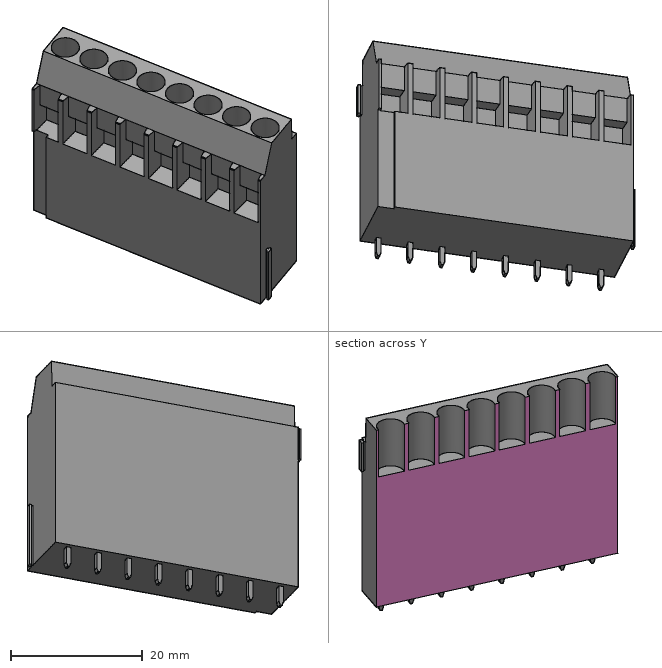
import cadquery as cq
import math

overall_width = 41.3
overall_height = 34.3
pole_count = 8
housing_width = 40.0
pitch = housing_width / pole_count
pole_centres = [(i + 0.5) * pitch for i in range(pole_count)]

housing_depth = 10.95
housing_height = 31.13
front_height = 26.0
front_chamfer = 0.12
slope_foot_y = 1.35
slope_top_y = 3.43
back_ledge_height = 26.87
back_wall_foot_y = 9.55
back_wall_top_y = 9.4

screw_hole_diameter = 4.25
screw_hole_y = 5.78
screw_hole_depth = 8.25

entry_width = 4.2
entry_bottom = 17.0
entry_top = 22.05
entry_depth = 2.9
funnel_depth = slope_foot_y
entry_slope = 0.18
entry_taper = math.degrees(math.atan(entry_slope))

end_step_width = pitch / 2
end_step_depth = 0.55
end_step_height = 17.17

left_rail_reach = 0.65
right_rail_reach = overall_width - housing_width - left_rail_reach
rail_neck_width = 0.5
rail_head_width = 1.07
rail_face_width = 0.9
rail_neck_length = 0.2
rail_flare_end = 0.35
left_rail_y = 10.0
left_rail_bottom = 21.8
left_rail_top = back_ledge_height
right_rail_y = 1.9
right_rail_bottom = 0.0
right_rail_top = 10.07

pin_width = 0.75
pin_thickness = 0.9
pin_length = overall_height - housing_height
pin_y = 9.7
pin_tip_width = 0.35
pin_tip_length = 0.58


def make_shell():
    """Plain housing block, extruded across the full width."""
    profile = [
        (0, 0),
        (housing_depth, 0),
        (housing_depth, back_ledge_height),
        (back_wall_foot_y, back_ledge_height),
        (back_wall_top_y, housing_height),
        (slope_top_y, housing_height),
        (slope_foot_y, front_height),
        (front_chamfer, front_height),
        (0, front_height - front_chamfer),
    ]
    return cq.Workplane("YZ").polyline(profile).close().extrude(housing_width)


def make_rail(side_x, direction, reach, centre_y, bottom, top):
    """Dovetail rail standing out from a side; direction is -1 (left) or 1 (right)."""
    half_outline = [
        (0, rail_neck_width / 2),
        (rail_neck_length, rail_neck_width / 2),
        (rail_flare_end, rail_head_width / 2),
        (reach, rail_face_width / 2),
    ]
    outline = half_outline + [(x, -y) for x, y in reversed(half_outline)]
    points = [(side_x + direction * x, centre_y + y) for x, y in outline]
    return cq.Workplane("XY").workplane(offset=bottom).polyline(points).close().extrude(top - bottom)


def make_wire_entry(centre_x):
    """Cutting shape of one wire entry, narrowing from the front face inward."""
    middle_z = (entry_bottom + entry_top) / 2
    pocket = (
        cq.Workplane("XZ", origin=(centre_x, 0, middle_z))
        .rect(entry_width, entry_top - entry_bottom)
        .extrude(-entry_depth, taper=entry_taper)
    )
    inner_half_width = entry_width / 2 - entry_slope * funnel_depth
    funnel = (
        cq.Workplane("XY")
        .workplane(offset=middle_z)
        .polyline([
            (centre_x - entry_width / 2, 0),
            (centre_x + entry_width / 2, 0),
            (centre_x + inner_half_width, funnel_depth),
            (centre_x - inner_half_width, funnel_depth),
        ])
        .close()
        .extrude(housing_height - middle_z)
    )
    return pocket.union(funnel)


def make_housing():
    housing = make_shell()

    screw_holes = (
        cq.Workplane("XY")
        .workplane(offset=housing_height)
        .pushPoints([(x, screw_hole_y) for x in pole_centres])
        .circle(screw_hole_diameter / 2)
        .extrude(-screw_hole_depth)
    )
    housing = housing.cut(screw_holes)

    for x in pole_centres:
        housing = housing.cut(make_wire_entry(x))

    end_step = cq.Workplane("XY").box(end_step_width, end_step_depth, end_step_height, centered=False)
    housing = housing.cut(end_step)

    left_rail = make_rail(0, -1, left_rail_reach, left_rail_y, left_rail_bottom, left_rail_top)
    right_rail = make_rail(
        housing_width, 1, right_rail_reach, right_rail_y, right_rail_bottom, right_rail_top
    )
    return housing.union(left_rail).union(right_rail)


def make_pin(centre_x):
    """Solder pin hanging from the underside, with a tapered tip."""
    half_outline = [
        (pin_width / 2, 0),
        (pin_width / 2, pin_tip_length - pin_length),
        (pin_tip_width / 2, -pin_length),
    ]
    outline = half_outline + [(-x, z) for x, z in reversed(half_outline)]
    return (
        cq.Workplane("XZ", origin=(centre_x, pin_y + pin_thickness / 2, 0))
        .polyline(outline)
        .close()
        .extrude(pin_thickness)
    )


housing = make_housing()
pins = [make_pin(x) for x in pole_centres]

result = cq.Compound.makeCompound([housing.val(), *[pin.val() for pin in pins]])